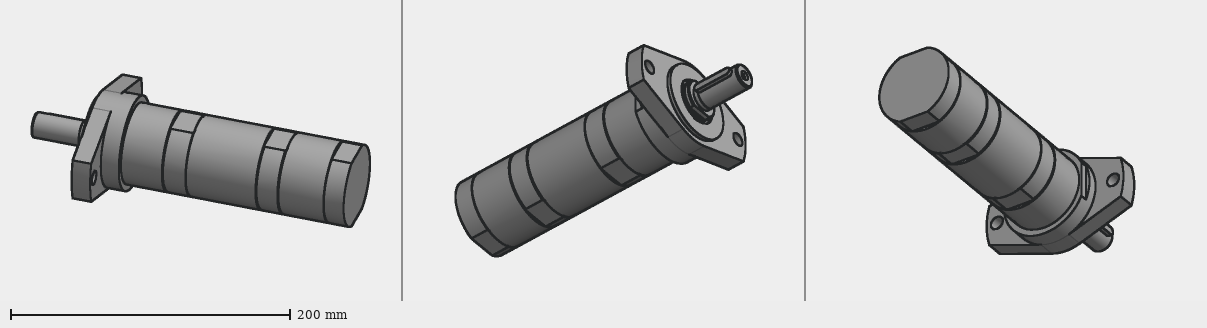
import cadquery as cq
import math


total_length = 243.0
journal_start = 36.0
collar_start = 39.5
pilot_start = 44.2
flange_start = 47.1
flange_end = 61.2
hub_end = 74.8

shaft_diameter = 18.7
journal_diameter = 19.0
collar_diameter = 30.0
recess_diameter = 35.0
body_diameter = 60.0
hub_diameter = 70.0

shaft_chamfer = 1.0
collar_chamfer = 0.7
collar_across_flats = 24.3
collar_groove_start = 43.7
collar_groove_width = 0.7
collar_groove_depth = 0.7
recess_depth = 2.5
key_start = 4.4
key_end = 37.0
key_width = 6.0
key_top = 12.2
countersink_diameter = 7.0
center_bore_diameter = 4.0
countersink_depth = 1.5
center_bore_depth = 3.0
center_tip_depth = 4.0

flange_width = 118.0
flange_edge_angle = math.radians(20)
bolt_spacing = 100.0
bolt_hole_diameter = 10.2

notch_start = 69.0
notch_offset = 31.8

across_flats = 55.2
wrench_flats = [(105.7, 123.7), (176.5, 193.7), (227.7, total_length)]

groove_depth = 0.2
groove_width = 0.7
narrow_groove_width = 0.2
relief_grooves = [
    (105.7, groove_width),
    (123.7 - narrow_groove_width, narrow_groove_width),
    (176.5, groove_width),
    (193.7 - groove_width, groove_width),
    (227.7, narrow_groove_width),
]


def cylinder(diameter, start, end):
    return cq.Workplane("YZ", origin=(start, 0, 0)).circle(diameter / 2).extrude(end - start)


def cone(start_diameter, end_diameter, start, end):
    """Cone along X whose diameter changes from one end to the other."""
    profile = [(start, 0), (start, start_diameter / 2), (end, end_diameter / 2), (end, 0)]
    if end_diameter == 0:
        profile.pop()
    return cq.Workplane("XY").polyline(profile).close().revolve(360, (0, 0, 0), (1, 0, 0))


def parallel_flats(diameter, across, start, end):
    """Material to remove so a round section gets flats on its +Z and -Z sides."""
    length = end - start
    middle = (start + end) / 2
    slab = cq.Workplane("XY", origin=(middle, 0, 0)).box(length, diameter, across)
    return cq.Workplane("XY", origin=(middle, 0, 0)).box(length, diameter, 2 * diameter).cut(slab)


def ring_groove(diameter, depth, start, width):
    """Material to remove for a groove running around a round section."""
    end = start + width
    core = cylinder(diameter - 2 * depth, start, end)
    return cylinder(diameter, start, end).cut(core)


def make_shaft():
    shaft = cylinder(shaft_diameter, 0, journal_start).faces("<X").chamfer(shaft_chamfer)
    journal = cylinder(journal_diameter, journal_start, collar_start)
    collar = cylinder(collar_diameter, collar_start, flange_end).faces("<X").chamfer(collar_chamfer)
    collar = collar.cut(
        parallel_flats(collar_diameter, collar_across_flats, collar_start, collar_groove_start)
    )
    collar = collar.cut(
        ring_groove(collar_diameter, collar_groove_depth, collar_groove_start, collar_groove_width)
    )
    return shaft.union(journal).union(collar)


def make_key():
    """Round-ended key seated in the +Y side of the shaft."""
    length = key_end - key_start
    middle = (key_start + key_end) / 2
    plane = cq.Plane(origin=(middle, 0, 0), xDir=(1, 0, 0), normal=(0, 1, 0))
    return cq.Workplane(plane).slot2D(length, key_width).extrude(key_top)


def make_center_hole():
    countersink = cone(countersink_diameter, center_bore_diameter, 0, countersink_depth)
    bore = cylinder(center_bore_diameter, countersink_depth, center_bore_depth)
    tip = cone(center_bore_diameter, 0, center_bore_depth, center_tip_depth)
    return countersink.union(bore).union(tip)


def make_flange():
    """Flange with concentric round tips and straight edges tangent to the hub."""
    hub_radius = hub_diameter / 2
    tip_radius = flange_width / 2
    tangent_y = hub_radius * math.sin(flange_edge_angle)
    tangent_z = hub_radius * math.cos(flange_edge_angle)
    corner_angle = math.pi / 2 - flange_edge_angle - math.acos(hub_radius / tip_radius)
    corner_y = tip_radius * math.cos(corner_angle)
    corner_z = tip_radius * math.sin(corner_angle)
    outline = (
        cq.Workplane("YZ", origin=(flange_start, 0, 0))
        .moveTo(corner_y, -corner_z)
        .threePointArc((tip_radius, 0), (corner_y, corner_z))
        .lineTo(tangent_y, tangent_z)
        .threePointArc((0, hub_radius), (-tangent_y, tangent_z))
        .lineTo(-corner_y, corner_z)
        .threePointArc((-tip_radius, 0), (-corner_y, -corner_z))
        .lineTo(-tangent_y, -tangent_z)
        .threePointArc((0, -hub_radius), (tangent_y, -tangent_z))
        .close()
    )
    flange = outline.extrude(flange_end - flange_start)
    for side in (-1, 1):
        hole = cylinder(bolt_hole_diameter, flange_start, flange_end)
        flange = flange.cut(hole.translate((0, side * bolt_spacing / 2, 0)))
    return flange


def make_hub():
    hub = cylinder(hub_diameter, flange_end, hub_end)
    notch = cq.Workplane("XY").box(
        hub_end - notch_start, hub_diameter, hub_diameter, centered=(False, False, True)
    )
    return hub.cut(notch.translate((notch_start, notch_offset, 0)))


def make_body():
    body = cylinder(body_diameter, pilot_start, total_length)
    for start, end in wrench_flats:
        body = body.cut(parallel_flats(body_diameter, across_flats, start, end))
    for start, width in relief_grooves:
        body = body.cut(ring_groove(body_diameter, groove_depth, start, width))
    return body


result = make_body().union(make_hub()).union(make_flange())
result = result.cut(cylinder(recess_diameter, pilot_start, pilot_start + recess_depth))
result = result.union(make_shaft()).union(make_key()).cut(make_center_hole())